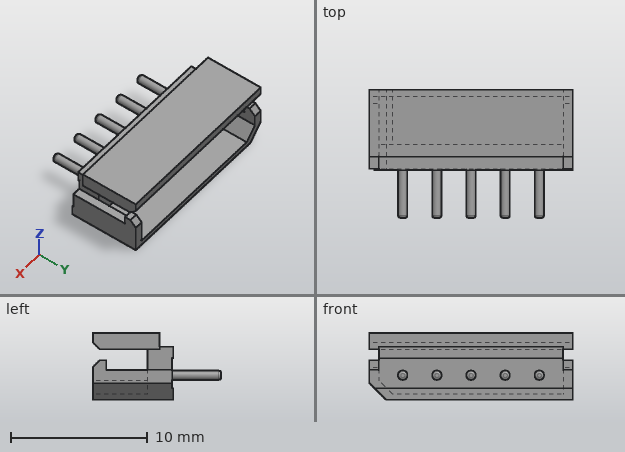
import cadquery as cq

LENGTH = 14.9
DEPTH = 5.9
HEIGHT = 4.9
CORNER_CHAMFER = 1.23

PLATE_BOTTOM = 3.7
PLATE_FRONT = 1.0

BASE_TOP = 2.2
LIP_TOP = 2.9
LIP_WIDTH = 1.0
LEAD_IN = 0.5

WEB_TOP = 3.9
WEB_DEPTH = 1.9
END_INSET = 0.7

FLOOR_THICKNESS = 0.45

RECESS_BOTTOM = 0.85
RECESS_TOP = 3.05
RECESS_DEPTH = 0.1

PIN_COUNT = 5
PIN_PITCH = 2.5
PIN_DIAMETER = 0.7
PIN_HEIGHT = 1.8
PIN_PROJECTION = 3.5
PIN_TIP_RADIUS = 0.2


def extrude_along_length(points, length):
    """Extrude a (Y, Z) outline along X, centred on X = 0."""
    return cq.Workplane("YZ").polyline(points).close().extrude(length / 2, both=True)


def make_plate():
    return extrude_along_length(
        [
            (PLATE_FRONT, PLATE_BOTTOM),
            (PLATE_FRONT, HEIGHT),
            (DEPTH, HEIGHT),
            (DEPTH, PLATE_BOTTOM + LEAD_IN),
            (DEPTH - LEAD_IN, PLATE_BOTTOM),
        ],
        LENGTH,
    )


def make_base():
    lip_front = DEPTH - LIP_WIDTH
    return extrude_along_length(
        [
            (0, 0),
            (0, BASE_TOP),
            (lip_front, BASE_TOP),
            (lip_front, LIP_TOP),
            (DEPTH - LEAD_IN, LIP_TOP),
            (DEPTH, LIP_TOP - LEAD_IN),
            (DEPTH, 0),
        ],
        LENGTH,
    )


def make_web():
    return extrude_along_length(
        [(0, 0), (0, WEB_TOP), (WEB_DEPTH, WEB_TOP), (WEB_DEPTH, 0)],
        LENGTH - 2 * END_INSET,
    )


def make_cavity():
    """Space above the floor, with a sloped corner leaving material behind the corner chamfer."""
    half_width = LENGTH / 2 - END_INSET
    slope_size = CORNER_CHAMFER - END_INSET + FLOOR_THICKNESS
    return (
        cq.Workplane("XZ", origin=(0, WEB_DEPTH, 0))
        .polyline(
            [
                (-half_width + slope_size, FLOOR_THICKNESS),
                (half_width, FLOOR_THICKNESS),
                (half_width, PLATE_BOTTOM),
                (-half_width, PLATE_BOTTOM),
                (-half_width, FLOOR_THICKNESS + slope_size),
            ]
        )
        .close()
        .extrude(WEB_DEPTH - DEPTH)
    )


def make_recess():
    return extrude_along_length(
        [
            (0, RECESS_BOTTOM),
            (0, RECESS_TOP),
            (RECESS_DEPTH, RECESS_TOP),
            (RECESS_DEPTH, RECESS_BOTTOM),
        ],
        LENGTH,
    )


def make_corner_cut():
    """Wedge removed from the lower -X edge, along the whole depth."""
    end = -LENGTH / 2
    return (
        cq.Workplane("XZ")
        .polyline([(end, 0), (end + CORNER_CHAMFER, 0), (end, CORNER_CHAMFER)])
        .close()
        .extrude(-DEPTH)
    )


def make_pin(x):
    """Round pin rooted in the web and pointing along -Y, with a rounded tip."""
    return (
        cq.Workplane("XZ", origin=(x, WEB_DEPTH / 2, PIN_HEIGHT))
        .circle(PIN_DIAMETER / 2)
        .extrude(PIN_PROJECTION + WEB_DEPTH / 2)
        .faces("<Y")
        .edges()
        .fillet(PIN_TIP_RADIUS)
    )


result = make_base().union(make_web()).cut(make_cavity()).union(make_plate())
result = result.cut(make_recess()).cut(make_corner_cut())
for index in range(PIN_COUNT):
    pin_x = (index - (PIN_COUNT - 1) / 2) * PIN_PITCH
    result = result.union(make_pin(pin_x))